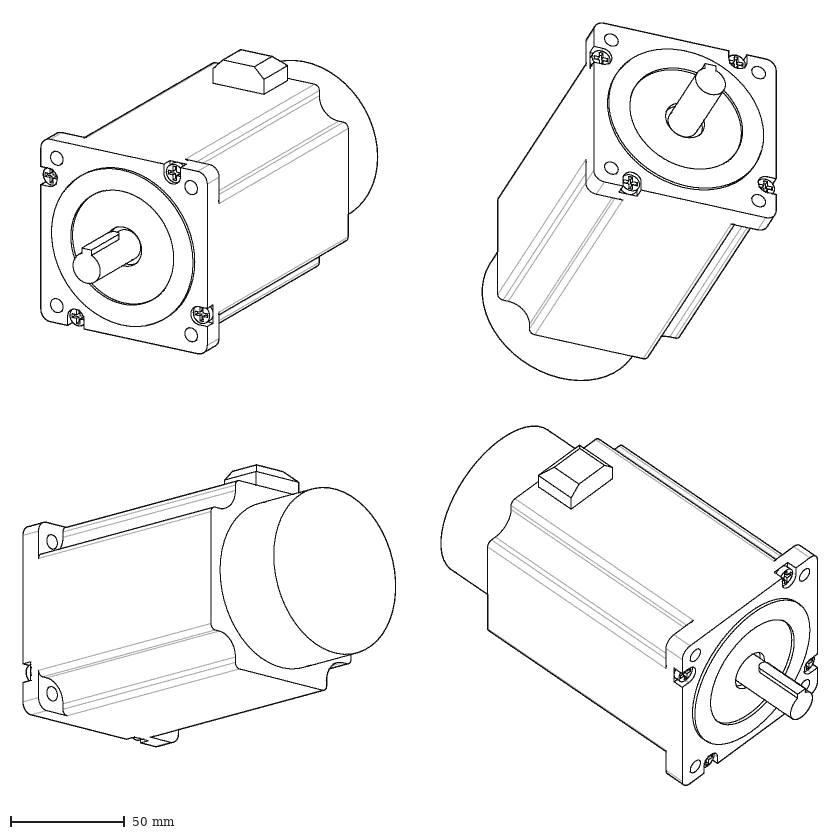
import cadquery as cq


side = 86.0
half_side = side / 2
body_length = 119.0
flange_thickness = 10.0
corner_radius = 5.0

flute_radius = 10.0
flute_edge_fillet = corner_radius / 2

mount_hole_diameter = 6.5
mount_hole_pitch = 69.4

cover_diameter = 74.9
cover_length = 34.0

pilot_diameter = 73.0
pilot_height = 1.5
recess_diameter = 53.1
recess_depth = 1.5
clearance_diameter = 18.3
clearance_depth = 4.0

shaft_diameter = 14.0
shaft_length = 30.0
key_width = 5.0
key_length = 25.0
key_top = 9.0

block_width = 26.2
block_length = 20.1
block_height = 12.0
block_chamfer = 5.0
block_back_gap = 2.2

screw_radius = 4.2
screw_offset = 24.9
screw_slot_depth = 5.0
screw_head_height = 3.0
cross_length = 6.5
cross_width = 1.7
cross_depth = 2.0

overlap = 1.8

shaft_tip = -(pilot_height + shaft_length)


def section(y):
    """Work plane across the motor axis at the given Y, with X right and Z up."""
    return cq.Workplane("XZ", origin=(0, y, 0))


def cylinder(diameter, y_front, y_back):
    """Cylinder on the motor axis between two Y positions."""
    return section(y_back).circle(diameter / 2).extrude(y_back - y_front)


def make_body():
    """Body with a concave flute along each corner and rounded flute edges."""
    body = section(body_length).rect(side, side).extrude(body_length)
    flute_center = half_side - corner_radius
    flute_wall = flute_center - flute_radius
    flute = (
        section(body_length)
        .moveTo(flute_wall, half_side + overlap)
        .lineTo(flute_wall, flute_center)
        .radiusArc((flute_center, flute_wall), -flute_radius)
        .lineTo(half_side + overlap, flute_wall)
        .lineTo(half_side + overlap, half_side + overlap)
        .close()
        .extrude(body_length)
    )
    for corner in range(4):
        body = body.cut(flute.rotate((0, 0, 0), (0, 1, 0), 90 * corner))
    core_reach = half_side - flute_edge_fillet
    core = cq.selectors.BoxSelector(
        (-core_reach, -overlap, -core_reach),
        (core_reach, body_length + overlap, core_reach),
    )
    flute_lips = cq.selectors.InverseSelector(core)
    return body.edges("|Y").edges(flute_lips).fillet(flute_edge_fillet)


def make_flange():
    """Square flange with rounded corners."""
    flange = section(flange_thickness).rect(side, side).extrude(flange_thickness)
    return flange.edges("|Y").fillet(corner_radius)


def make_mount_holes():
    """Four holes through the flange that run out into the flutes."""
    return (
        section(flange_thickness)
        .rect(mount_hole_pitch, mount_hole_pitch, forConstruction=True)
        .vertices()
        .circle(mount_hole_diameter / 2)
        .extrude(flange_thickness)
    )


def make_block():
    """Connector block chamfered on its back and both sides."""
    block_back = body_length - block_back_gap
    block = (
        cq.Workplane("XY", origin=(0, block_back - block_length / 2, half_side - overlap))
        .rect(block_width, block_length)
        .extrude(block_height + overlap)
    )
    return block.faces(">Z").edges("|Y or >Y").chamfer(block_chamfer)


def make_key():
    """Shaft key, square at the shaft tip and rounded at its inner end."""
    key_arc_y = shaft_tip + key_length - key_width / 2
    return (
        cq.Workplane("XY")
        .moveTo(-key_width / 2, shaft_tip)
        .lineTo(-key_width / 2, key_arc_y)
        .threePointArc((0, shaft_tip + key_length), (key_width / 2, key_arc_y))
        .lineTo(key_width / 2, shaft_tip)
        .close()
        .extrude(key_top)
    )


def make_screw_slot():
    """Slot in the top edge of the flange, open upward and rounded at its lower end."""
    center_z = half_side - screw_radius
    slot_top = half_side + overlap
    return (
        section(screw_slot_depth)
        .moveTo(screw_offset - screw_radius, slot_top)
        .lineTo(screw_offset - screw_radius, center_z)
        .threePointArc((screw_offset, center_z - screw_radius), (screw_offset + screw_radius, center_z))
        .lineTo(screw_offset + screw_radius, slot_top)
        .close()
        .extrude(screw_slot_depth)
    )


def make_screw_head():
    """Screw head standing on the floor of the top slot, with a cross recess."""
    center = (screw_offset, half_side - screw_radius)
    head_front = screw_slot_depth - screw_head_height
    head = section(screw_slot_depth).center(*center).circle(screw_radius).extrude(screw_head_height)
    cross_plane = section(head_front + cross_depth).center(*center)
    head = head.cut(cross_plane.rect(cross_length, cross_width).extrude(cross_depth))
    return head.cut(cross_plane.rect(cross_width, cross_length).extrude(cross_depth))


motor = make_body().union(make_flange())
motor = motor.union(cylinder(cover_diameter, body_length - overlap, body_length + cover_length))
motor = motor.union(make_block())
motor = motor.cut(make_mount_holes())

motor = motor.union(cylinder(pilot_diameter, -pilot_height, overlap))
motor = motor.cut(cylinder(recess_diameter, -pilot_height, recess_depth - pilot_height))
motor = motor.cut(cylinder(clearance_diameter, -pilot_height, clearance_depth - pilot_height))

for quarter in range(4):
    angle = 90 * quarter
    motor = motor.cut(make_screw_slot().rotate((0, 0, 0), (0, 1, 0), angle))
    motor = motor.union(make_screw_head().rotate((0, 0, 0), (0, 1, 0), angle))

motor = motor.union(cylinder(shaft_diameter, shaft_tip, clearance_depth + overlap))
result = motor.union(make_key())